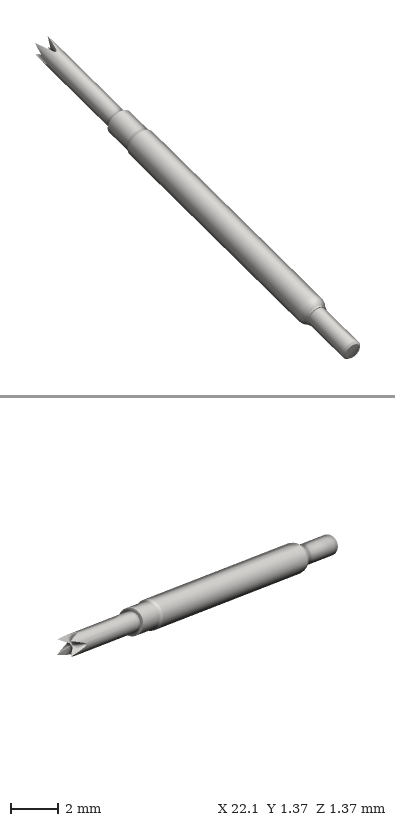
import cadquery as cq
import math

total_length = 22.1
collar_start = 5.55
collar_end = 6.9
barrel_start = 7.07
barrel_end = 19.07
shoulder_end = 19.47
lip_end = 19.58
tail_chamfer = 0.09

plunger_diameter = 0.95
collar_diameter = 1.24
barrel_diameter = 1.37
lip_diameter = 1.02
tail_diameter = 0.93

valley_depth_at_axis = 0.77
valley_depth_at_rim = 1.24
valley_bottom_radius = 0.09
valley_count = 4


def make_body():
    """Revolve the stepped profile around the X axis."""
    plunger_radius = plunger_diameter / 2
    collar_radius = collar_diameter / 2
    barrel_radius = barrel_diameter / 2
    tail_radius = tail_diameter / 2
    lip_radius = lip_diameter / 2

    shoulder_length = shoulder_end - barrel_end
    shoulder_drop = barrel_radius - lip_radius
    return (
        cq.Workplane("XY")
        .lineTo(0, plunger_radius)
        .lineTo(collar_start, plunger_radius)
        .lineTo(collar_start, collar_radius)
        .lineTo(collar_end, collar_radius)
        .lineTo(barrel_start, barrel_radius)
        .lineTo(barrel_end, barrel_radius)
        .tangentArcPoint((shoulder_length, -shoulder_drop), relative=True)
        .lineTo(lip_end, lip_radius)
        .lineTo(lip_end, tail_radius)
        .lineTo(total_length - tail_chamfer, tail_radius)
        .lineTo(total_length, tail_radius - tail_chamfer)
        .lineTo(total_length, 0)
        .close()
        .revolve(360, (0, 0, 0), (1, 0, 0))
    )


def make_valley_cutter():
    """V-shaped prism whose rounded bottom edge slopes away from the tips toward +Y."""
    rim_radius = plunger_diameter / 2
    valley_slope = (valley_depth_at_rim - valley_depth_at_axis) / rim_radius

    tip_offset = rim_radius * math.sin(math.pi / valley_count)
    depth_at_tip = valley_depth_at_axis + valley_slope * tip_offset
    wall_slope = tip_offset / depth_at_tip

    section_slope = wall_slope * math.hypot(1, valley_slope)
    section_height = 2 * valley_depth_at_rim
    half_width = section_height * section_slope
    section = cq.Plane(
        origin=(valley_depth_at_axis, 0, 0),
        xDir=(0, 0, -1),
        normal=(valley_slope, 1, 0),
    )
    prism = (
        cq.Workplane(section)
        .polyline([(0, 0), (half_width, section_height), (-half_width, section_height)])
        .close()
        .extrude(section_height, both=True)
    )
    bottom_point = (valley_depth_at_axis, 0, 0)
    return prism.edges(cq.NearestToPointSelector(bottom_point)).fillet(valley_bottom_radius)


def cut_crown(body):
    """Cut one valley on each of the +Y, +Z, -Y and -Z sides."""
    cutter = make_valley_cutter()
    for index in range(valley_count):
        angle = index * 360 / valley_count
        body = body.cut(cutter.rotate((0, 0, 0), (1, 0, 0), angle))
    return body


result = cut_crown(make_body())